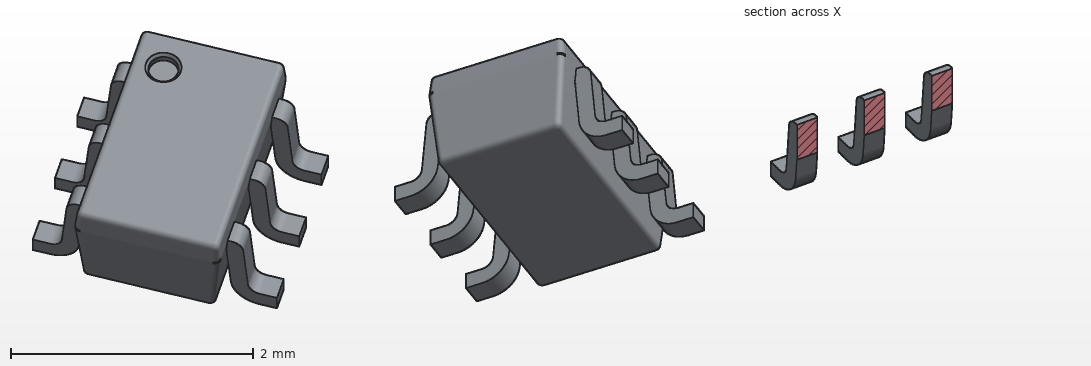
import cadquery as cq
import math

span = 2.1
total_height = 0.99

body_width = 1.25
body_length = 2.0
body_bottom = 0.09
belt_bottom = 0.785
belt_height = 0.015
draft_angle = 5.0
body_fillet = 0.05

dimple_diameter = 0.25
dimple_chamfer = 0.025
dimple_depth = 0.078
dimple_x = -0.338

leads_per_side = 3
lead_pitch = 0.65
lead_width = 0.2
lead_thickness = 0.15
lead_top = 0.794
foot_length = 0.15
bend_radius = 0.1
lead_lean = 5.0
lead_embed = 0.063


def make_drafted_half(start_z, end_z):
    """Drafted block from the belt to the end face, with rounded corners and end rim."""
    end_face = ">Z" if end_z > start_z else "<Z"
    return (
        cq.Workplane("XY").workplane(offset=start_z).rect(body_width, body_length)
        .extrude(end_z - start_z, taper=draft_angle)
        .edges("not #Z").fillet(body_fillet)
        .faces(end_face).edges().fillet(body_fillet)
    )


def make_body():
    """Drafted halves above and below a straight belt."""
    belt_top = belt_bottom + belt_height
    belt = (
        cq.Workplane("XY").workplane(offset=belt_bottom).rect(body_width, body_length)
        .extrude(belt_height)
        .edges("|Z").fillet(body_fillet)
    )
    upper = make_drafted_half(belt_top, total_height)
    lower = make_drafted_half(belt_bottom, body_bottom)
    return belt.union(upper).union(lower)


def make_dimple():
    """Round recess whose mouth flares out at 45 degrees, level with the first leads."""
    radius = dimple_diameter / 2
    mouth_radius = radius + dimple_chamfer
    dimple_y = lead_pitch
    floor = cq.Vector(dimple_x, dimple_y, total_height - dimple_depth)
    flare_start = cq.Vector(dimple_x, dimple_y, total_height - dimple_chamfer)
    bore = cq.Workplane(cq.Solid.makeCylinder(radius, dimple_depth, floor))
    flare = cq.Workplane(cq.Solid.makeCone(radius, mouth_radius, dimple_chamfer, flare_start))
    return bore.union(flare)


def make_lead():
    """Lead on the +X side, centred on Y = 0."""
    lean = math.radians(lead_lean)
    sweep_middle = (math.pi / 2 - lean) / 2
    tip_x = span / 2
    foot_x = tip_x - foot_length
    outer_radius = bend_radius + lead_thickness
    bend_z = outer_radius

    def foot_arc(radius, angle):
        """Point on a foot arc, the angle measured from straight down toward the body."""
        return (foot_x - radius * math.sin(angle), bend_z - radius * math.cos(angle))

    leg_angle = math.pi / 2 - lean
    leg_start = foot_arc(bend_radius, leg_angle)
    under_start = foot_arc(outer_radius, leg_angle)

    shoulder_z = lead_top - bend_radius
    leg_end_z = shoulder_z + bend_radius * math.sin(lean)
    leg_end_x = leg_start[0] - (leg_end_z - leg_start[1]) * math.tan(lean)
    shoulder_x = leg_end_x - bend_radius * math.cos(lean)

    def shoulder_arc(angle):
        """Point on the shoulder arc, the angle measured up from +X."""
        return (shoulder_x + bend_radius * math.cos(angle), shoulder_z + bend_radius * math.sin(angle))

    underside_z = lead_top - lead_thickness
    inner_corner_x = under_start[0] - (underside_z - under_start[1]) * math.tan(lean)
    inner_end_x = body_width / 2 - lead_embed

    return (
        cq.Workplane("XZ").workplane(offset=-lead_width / 2)
        .moveTo(tip_x, 0)
        .lineTo(tip_x, lead_thickness)
        .lineTo(*foot_arc(bend_radius, 0))
        .threePointArc(foot_arc(bend_radius, sweep_middle), leg_start)
        .lineTo(leg_end_x, leg_end_z)
        .threePointArc(shoulder_arc(lean + sweep_middle), (shoulder_x, lead_top))
        .lineTo(inner_end_x, lead_top)
        .lineTo(inner_end_x, underside_z)
        .lineTo(inner_corner_x, underside_z)
        .lineTo(*under_start)
        .threePointArc(foot_arc(outer_radius, sweep_middle), foot_arc(outer_radius, 0))
        .close()
        .extrude(lead_width)
    )


result = make_body().cut(make_dimple())

right_lead = make_lead()
left_lead = right_lead.mirror("YZ")
for index in range(leads_per_side):
    lead_y = (index - (leads_per_side - 1) / 2) * lead_pitch
    for lead in (left_lead, right_lead):
        result = result.union(lead.translate((0, lead_y, 0)))